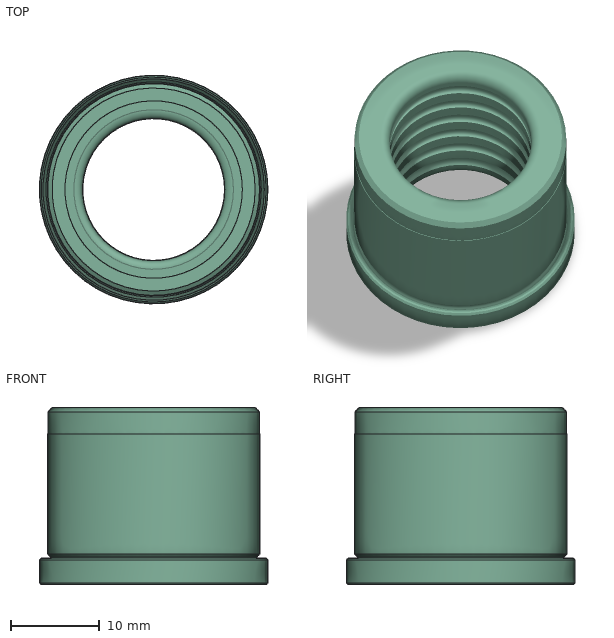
import cadquery as cq
import math

height = 20.0
flange_radius = 12.9
flange_height = 3.0
flange_chamfer = 0.2

barrel_radius = 12.0
pilot_radius = 11.95
pilot_length = 3.0
top_chamfer = 0.5

undercut_mouth = 0.5
undercut_wall_run = 0.34
flange_wall_drop = 0.18

liner_radius = 10.0
bore_radius = 8.0
bore_fillet = 1.0

groove_count = 6
groove_radius = 0.75
groove_pitch = 3.0


def make_housing():
    """Flanged sleeve, revolved from its half section."""
    lower_end_r = barrel_radius + undercut_mouth - undercut_wall_run
    lower_end_z = flange_height - flange_wall_drop
    upper_end_r = barrel_radius - undercut_wall_run
    upper_end_z = flange_height + undercut_mouth - undercut_wall_run
    chord_r = upper_end_r - lower_end_r
    chord_z = upper_end_z - lower_end_z
    bottom_r = (lower_end_r + upper_end_r - chord_z) / 2
    bottom_z = (lower_end_z + upper_end_z + chord_r) / 2
    pilot_start = height - pilot_length

    return (
        cq.Workplane("XZ")
        .moveTo(liner_radius, 0)
        .lineTo(flange_radius - flange_chamfer, 0)
        .lineTo(flange_radius, flange_chamfer)
        .lineTo(flange_radius, flange_height - flange_chamfer)
        .lineTo(flange_radius - flange_chamfer, flange_height)
        .lineTo(barrel_radius + undercut_mouth, flange_height)
        .lineTo(lower_end_r, lower_end_z)
        .threePointArc((bottom_r, bottom_z), (upper_end_r, upper_end_z))
        .lineTo(barrel_radius, flange_height + undercut_mouth)
        .lineTo(barrel_radius, pilot_start)
        .lineTo(pilot_radius, pilot_start)
        .lineTo(pilot_radius, height - top_chamfer)
        .lineTo(pilot_radius - top_chamfer, height)
        .lineTo(liner_radius, height)
        .close()
        .revolve(360, (0, 0, 0), (0, 1, 0))
    )


def make_liner():
    """Tube with rounded bore mouths and half-round ring grooves, revolved from its half section."""
    fillet_mid = bore_fillet * (1 - math.sqrt(0.5))
    profile = (
        cq.Workplane("XZ")
        .moveTo(liner_radius, 0)
        .lineTo(bore_radius + bore_fillet, 0)
        .threePointArc((bore_radius + fillet_mid, fillet_mid), (bore_radius, bore_fillet))
    )
    for i in range(groove_count):
        groove_z = height / 2 + (i - (groove_count - 1) / 2) * groove_pitch
        profile = profile.lineTo(bore_radius, groove_z - groove_radius).threePointArc(
            (bore_radius + groove_radius, groove_z),
            (bore_radius, groove_z + groove_radius),
        )
    return (
        profile.lineTo(bore_radius, height - bore_fillet)
        .threePointArc(
            (bore_radius + fillet_mid, height - fillet_mid),
            (bore_radius + bore_fillet, height),
        )
        .lineTo(liner_radius, height)
        .close()
        .revolve(360, (0, 0, 0), (0, 1, 0))
    )


housing = make_housing()
liner = make_liner()

result = cq.Compound.makeCompound([housing.val(), liner.val()])